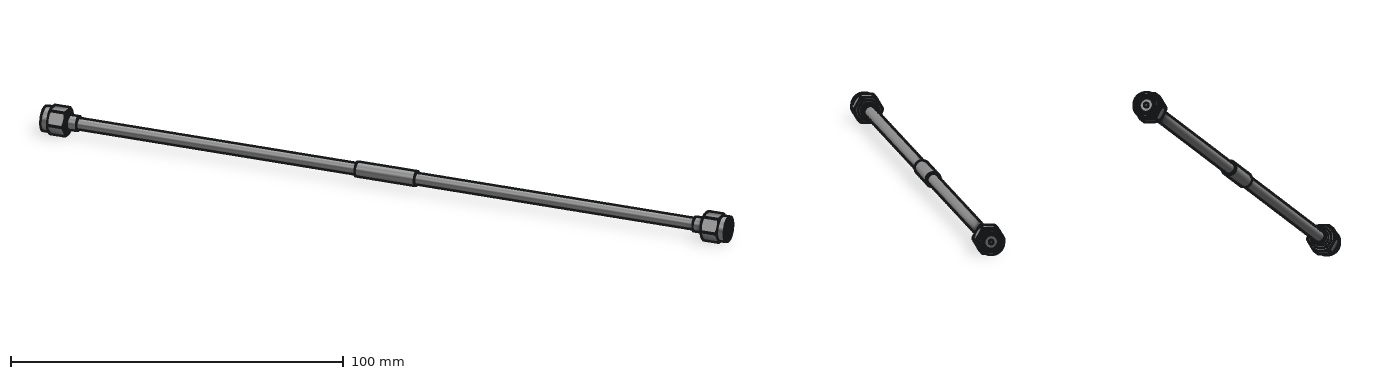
import cadquery as cq

total_length = 219.96

nut_across_flats = 7.94
nut_corner_diameter = 8.99
hex_start = 2.3
hex_end = 7.6
hex_bevel_length = 0.3
hex_bevel_height = 0.5
collar_diameter = 7.85
collar_chamfer = 0.2

shoulder_diameter = 6.3
shoulder_end = 8.0
ferrule_diameter = 4.6
ferrule_end = 10.9

bore_diameter = 6.0
bore_depth = 2.5
core_diameter = 5.1
core_setback = 0.4
socket_diameter = 4.3
socket_depth = 0.9
pin_diameter = 1.27
pin_setback = 0.2

cable_diameter = 3.6
sleeve_diameter = 4.6
sleeve_length = 19.05


def cylinder(start, end, diameter):
    """Cylinder along +X between two X positions."""
    return cq.Workplane("YZ", origin=(start, 0, 0)).circle(diameter / 2).extrude(end - start)


def collar():
    """Round nut body, chamfered at the mating face."""
    return cylinder(0, hex_end, collar_diameter).faces("<X").chamfer(collar_chamfer)


def hexagon():
    """Hexagon with flats facing +Z and -Z, its corners turned off and bevelled at both ends."""
    blank = (
        cq.Workplane("YZ", origin=(hex_start, 0, 0))
        .polygon(6, nut_across_flats, circumscribed=True)
        .extrude(hex_end - hex_start)
        .rotate((0, 0, 0), (1, 0, 0), 90)
    )
    turned = cylinder(hex_start, hex_end, nut_corner_diameter)
    turned = turned.faces("<X or >X").chamfer(hex_bevel_length, hex_bevel_height)
    return blank.intersect(turned)


def mating_core():
    """Contact ring with a recessed floor and a centre pin, inside the nut bore."""
    ring = cylinder(core_setback, bore_depth, core_diameter)
    recess = cylinder(core_setback, socket_depth, socket_diameter)
    pin = cylinder(pin_setback, socket_depth, pin_diameter)
    return ring.cut(recess).union(pin)


def connector():
    """Connector with its mating face at X = 0 and its cable end towards +X."""
    body = (
        collar()
        .union(hexagon())
        .union(cylinder(hex_end, shoulder_end, shoulder_diameter))
        .union(cylinder(shoulder_end, ferrule_end, ferrule_diameter))
    )
    return body.cut(cylinder(0, bore_depth, bore_diameter)).union(mating_core())


def cable():
    """Cable between the two ferrules, with its sleeve at mid length."""
    half_cable = total_length / 2 - ferrule_end
    half_sleeve = sleeve_length / 2
    core = cylinder(-half_cable, half_cable, cable_diameter)
    return core.union(cylinder(-half_sleeve, half_sleeve, sleeve_diameter))


connectors = []
for turn in (0, 180):
    placed = connector().translate((-total_length / 2, 0, 0)).rotate((0, 0, 0), (0, 0, 1), turn)
    connectors.append(placed.val())

result = cq.Compound.makeCompound([cable().val(), *connectors])